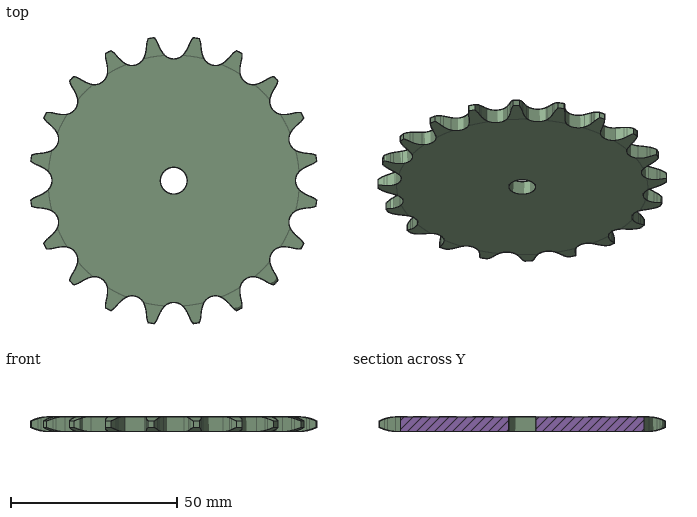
import cadquery as cq
import math


TOOTH_COUNT = 20
CHAIN_PITCH = 12.7
ROLLER_DIAMETER = 7.75
OUTER_DIAMETER = 86.9
PLATE_THICKNESS = 4.5
BORE_DIAMETER = 8.0
SIDE_BEVEL_RADIUS = 13.0
SIDE_BEVEL_WIDTH = 1.3

FORM_CLEARANCE = 0.038
SEAT_RADIUS = 0.5025 * ROLLER_DIAMETER + FORM_CLEARANCE
WORKING_RADIUS = 1.3025 * ROLLER_DIAMETER + FORM_CLEARANCE
SEAT_ANGLE = math.radians(35 + 60 / TOOTH_COUNT)
WORKING_ANGLE = math.radians(18 - 56 / TOOTH_COUNT)
TOPPING_ANGLE = math.radians(17 - 64 / TOOTH_COUNT)
STRAIGHT_LENGTH = ROLLER_DIAMETER * (
    1.4 * math.sin(TOPPING_ANGLE) - 0.8 * math.sin(WORKING_ANGLE)
)
TOPPING_RADIUS = (
    ROLLER_DIAMETER * (0.8 * math.cos(WORKING_ANGLE) + 1.4 * math.cos(TOPPING_ANGLE) - 1.3025)
    - FORM_CLEARANCE
)

PITCH_RADIUS = CHAIN_PITCH / 2 / math.sin(math.pi / TOOTH_COUNT)
OUTER_RADIUS = OUTER_DIAMETER / 2
GAP_STEP = 2 * math.pi / TOOTH_COUNT


def step(start, length, lean):
    """Move from start by length, in a direction leaning from the gap axis (+X) towards +Y."""
    return (start[0] + length * math.cos(lean), start[1] + length * math.sin(lean))


def turn(point, angle):
    """Turn a point about the sprocket axis."""
    cosine = math.cos(angle)
    sine = math.sin(angle)
    return (point[0] * cosine - point[1] * sine, point[0] * sine + point[1] * cosine)


def mirror(point):
    """Reflect a point across the gap axis."""
    return (point[0], -point[1])


def flank_points():
    """Ends of the seat, working arc, straight and topping arc on the +Y side of a gap along +X."""
    quarter = math.pi / 2
    straight_lean = SEAT_ANGLE - WORKING_ANGLE
    seat_end = step((PITCH_RADIUS, 0), SEAT_RADIUS, quarter + SEAT_ANGLE)
    working_centre = step(seat_end, WORKING_RADIUS, SEAT_ANGLE - quarter)
    working_end = step(working_centre, WORKING_RADIUS, quarter + straight_lean)
    straight_end = step(working_end, STRAIGHT_LENGTH, straight_lean)

    centre = step(straight_end, TOPPING_RADIUS, straight_lean + quarter)
    distance = math.hypot(*centre)
    cosine = (distance**2 + OUTER_RADIUS**2 - TOPPING_RADIUS**2) / (2 * distance * OUTER_RADIUS)
    tip_direction = math.atan2(centre[1], centre[0]) - math.acos(cosine)
    tip_corner = step((0, 0), OUTER_RADIUS, tip_direction)
    return seat_end, working_end, straight_end, tip_corner


def toothed_plate():
    """Full-thickness plate with the complete tooth outline."""
    seat_end, working_end, straight_end, tip_corner = flank_points()
    outline = cq.Workplane("XY", origin=(0, 0, -PLATE_THICKNESS / 2)).moveTo(*mirror(tip_corner))
    for gap in range(TOOTH_COUNT):
        angle = gap * GAP_STEP

        def place(point):
            return turn(point, angle)

        outline = (
            outline.radiusArc(place(mirror(straight_end)), -TOPPING_RADIUS)
            .lineTo(*place(mirror(working_end)))
            .radiusArc(place(mirror(seat_end)), WORKING_RADIUS)
            .threePointArc(place((PITCH_RADIUS - SEAT_RADIUS, 0)), place(seat_end))
            .radiusArc(place(working_end), WORKING_RADIUS)
            .lineTo(*place(straight_end))
            .radiusArc(place(tip_corner), -TOPPING_RADIUS)
            .threePointArc(
                place(step((0, 0), OUTER_RADIUS, GAP_STEP / 2)),
                turn(mirror(tip_corner), angle + GAP_STEP),
            )
        )
    return outline.close().extrude(PLATE_THICKNESS)


def bevelled_disc():
    """Disc whose rim is rounded on both faces, tangent to the flat faces."""
    half_thickness = PLATE_THICKNESS / 2
    tip_half_thickness = half_thickness - SIDE_BEVEL_WIDTH
    arc_height = SIDE_BEVEL_RADIUS - SIDE_BEVEL_WIDTH
    flat_radius = OUTER_RADIUS - math.sqrt(SIDE_BEVEL_RADIUS**2 - arc_height**2)
    rim_end = (OUTER_RADIUS, tip_half_thickness)
    profile = (
        cq.Workplane("XZ")
        .moveTo(0, -half_thickness)
        .lineTo(flat_radius, -half_thickness)
        .radiusArc(mirror(rim_end), -SIDE_BEVEL_RADIUS)
        .lineTo(*rim_end)
        .radiusArc((flat_radius, half_thickness), -SIDE_BEVEL_RADIUS)
        .lineTo(0, half_thickness)
        .close()
    )
    return profile.revolve(360, (0, 0, 0), (0, 1, 0))


def bore():
    """Cutter for the central through hole."""
    return cq.Workplane("XY").circle(BORE_DIAMETER / 2).extrude(PLATE_THICKNESS, both=True)


result = toothed_plate().intersect(bevelled_disc()).cut(bore())